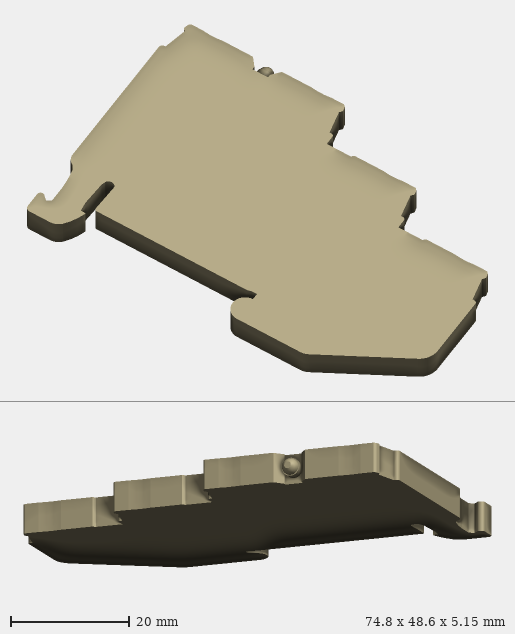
import cadquery as cq
import math

length = 74.8
thickness = 5.15
mid_z = thickness / 2
body_left = 0.5

terrace_count = 3
terrace_pitch = 19.7
terrace_drop = 8.1
top_y = 47.8
first_riser_x = length - (terrace_count - 1) * terrace_pitch
shoulder_drop = 6.3
shoulder_y = top_y - shoulder_drop
shoulder_width = 0.9
shoulder_radius = 0.5
left_shoulder_radius = 0.7
floor_lip = 0.45
floor_width = 4.85
latch_profile = [
    (2.0, 0.0),
    (1.65, 0.4),
    (1.4, 1.3),
    (1.9, 1.9),
    (shoulder_width, shoulder_drop),
]

dish_width = 4.05
dish_depth = 0.15
dish_inset = 6.6
left_dish_x = 6.95

pin_x = 17.95
notch_half_width = 2.9
notch_wall_top_y = 46.15
notch_floor_y = 45.55
pin_radius = 1.6
pin_shoulder_y = 47.2
pin_tip_y = 48.6
pin_root_depth = 0.75
dome_base_radius = 1.4
dome_tip_radius = 0.6
dome_mid_radius = 1.2
dome_mid_y = 48.1

underside_y = 6.2

slot_top_y = 12.7
slot_round_y = 12.1
slot_left_x = 8.3
slot_right_x = 10.2
slot_mid_x = (slot_left_x + slot_right_x) / 2
slot_mouth_x = 9.95
slot_mouth_corner = 0.3

leg_right_x = 8.1
leg_right_top_y = 11.3
leg_waist = (7.85, 6.7)
barb_tip_x = 9.05
barb_top_y = 4.85
barb_base = (9.0, 4.4)
heel_bulge = (8.15, 2.55)
heel_knee = (7.0, 0.9)
sole_bulge = (6.05, 0.2)
sole_end_x = 4.85
toe_radius = 0.9
toe_side_y = 3.9
toe_crown = (0.5, 4.4)
toe_inner = (1.3, 4.1)
hook_root = (2.0, 3.45)
leg_left_x = 2.85
leg_left_bottom_y = 4.05
leg_left_top_y = 7.1
leg_neck = [(2.7, 9.0), (2.3, 11.1)]
leg_hollow = (1.95, 11.8)
body_round_start = (1.2, 12.5)
body_round_mid = (0.7, 13.25)
body_round_end_y = 14.1

foot_bottom_y = 0.2
foot_bottom_x = 42.85
foot_nose_x = 40.2
foot_nose_y = 2.7
foot_top_y = 5.15
undercut_x = 42.6
undercut_y = 6.4
undercut_ramp_x = (40.8, 41.6)
slope_start_x = 56.2
slope_angle = math.radians(30)
slope_corner_radius = 3.75
slope_start_radius = 3.0


def add_terraces(outline):
    """Draw the terrace ends and step floors from the first top to the last riser."""
    for step in range(terrace_count):
        riser_x = first_riser_x + step * terrace_pitch
        terrace_y = top_y - step * terrace_drop
        for inset, drop in latch_profile:
            outline = outline.lineTo(riser_x - inset, terrace_y - drop)
        outline = outline.lineTo(riser_x - shoulder_radius, terrace_y - shoulder_drop)
        outline = outline.tangentArcPoint((shoulder_radius, -shoulder_radius))
        if step < terrace_count - 1:
            next_y = terrace_y - terrace_drop
            outline = outline.lineTo(riser_x, next_y - floor_lip)
            outline = outline.lineTo(riser_x + floor_width, next_y - floor_lip)
            outline = outline.lineTo(riser_x + floor_width + floor_lip, next_y)
    return outline


def add_right_foot(outline):
    """Draw the sloped corner, the rounded foot and its undercut, ending on the underside."""
    slope_corner_y = foot_bottom_y + (length - slope_start_x) * math.tan(slope_angle)
    corner_tangent = slope_corner_radius * math.tan((math.pi / 2 - slope_angle) / 2)
    start_tangent = slope_start_radius * math.tan(slope_angle / 2)
    return (
        outline.lineTo(length, slope_corner_y + corner_tangent)
        .tangentArcPoint(
            (
                length - corner_tangent * math.cos(slope_angle),
                slope_corner_y - corner_tangent * math.sin(slope_angle),
            ),
            relative=False,
        )
        .lineTo(
            slope_start_x + start_tangent * math.cos(slope_angle),
            foot_bottom_y + start_tangent * math.sin(slope_angle),
        )
        .tangentArcPoint((slope_start_x - start_tangent, foot_bottom_y), relative=False)
        .lineTo(foot_bottom_x, foot_bottom_y)
        .threePointArc((foot_nose_x, foot_nose_y), (undercut_x, foot_top_y))
        .lineTo(undercut_x, undercut_y)
        .lineTo(undercut_ramp_x[1], undercut_y)
        .lineTo(undercut_ramp_x[0], underside_y)
    )


def add_spring_foot(outline):
    """Draw the slot and the hooked spring leg, ending on the straight left edge."""
    outline = (
        outline.lineTo(slot_mouth_x + slot_mouth_corner, underside_y)
        .lineTo(slot_mouth_x, underside_y + slot_mouth_corner)
        .lineTo(slot_right_x, slot_round_y)
        .threePointArc((slot_mid_x, slot_top_y), (slot_left_x, slot_round_y))
        .lineTo(leg_right_x, leg_right_top_y)
        .lineTo(*leg_waist)
        .lineTo(leg_right_x, barb_top_y)
        .lineTo(barb_tip_x, barb_top_y)
        .lineTo(*barb_base)
        .threePointArc(heel_bulge, heel_knee)
        .threePointArc(sole_bulge, (sole_end_x, 0.0))
        .lineTo(toe_radius, 0.0)
        .tangentArcPoint((0.0, toe_radius), relative=False)
        .lineTo(0.0, toe_side_y)
        .threePointArc(toe_crown, toe_inner)
        .lineTo(*hook_root)
        .lineTo(leg_left_x, leg_left_bottom_y)
        .lineTo(leg_left_x, leg_left_top_y)
    )
    for point in leg_neck:
        outline = outline.lineTo(*point)
    return (
        outline.threePointArc(leg_hollow, body_round_start)
        .threePointArc(body_round_mid, (body_left, body_round_end_y))
    )


def make_plate():
    outline = cq.Workplane("XY").moveTo(body_left + left_shoulder_radius, shoulder_y)
    for inset, drop in reversed(latch_profile):
        outline = outline.lineTo(body_left + inset, top_y - drop)
    outline = add_terraces(outline)
    outline = add_right_foot(outline)
    outline = add_spring_foot(outline)
    outline = outline.lineTo(body_left, shoulder_y - left_shoulder_radius)
    outline = outline.tangentArcPoint((left_shoulder_radius, left_shoulder_radius))
    return outline.close().extrude(thickness)


def make_dish(x, y):
    half = dish_width / 2
    return (
        cq.Workplane("XY")
        .moveTo(x - half, y)
        .threePointArc((x, y - dish_depth), (x + half, y))
        .close()
        .extrude(thickness)
    )


def make_notch():
    return (
        cq.Workplane("XY")
        .moveTo(pin_x - notch_half_width, top_y)
        .lineTo(pin_x - pin_radius, notch_wall_top_y)
        .lineTo(pin_x - pin_radius, notch_floor_y)
        .lineTo(pin_x + pin_radius, notch_floor_y)
        .lineTo(pin_x + pin_radius, notch_wall_top_y)
        .lineTo(pin_x + notch_half_width, top_y)
        .close()
        .extrude(thickness)
    )


def make_pin():
    """Round pin along Y with a domed, flat-ended tip, rooted in the notch floor."""
    root_y = notch_floor_y - pin_root_depth
    return (
        cq.Workplane("XY", origin=(pin_x, 0, mid_z))
        .moveTo(0, root_y)
        .lineTo(pin_radius, root_y)
        .lineTo(pin_radius, pin_shoulder_y)
        .lineTo(dome_base_radius, pin_shoulder_y)
        .threePointArc((dome_mid_radius, dome_mid_y), (dome_tip_radius, pin_tip_y))
        .lineTo(0, pin_tip_y)
        .close()
        .revolve(360, (0, 0, 0), (0, 1, 0))
    )


result = make_plate().cut(make_notch())
result = result.cut(make_dish(left_dish_x, top_y))
for step in range(terrace_count):
    dish_x = first_riser_x + step * terrace_pitch - dish_inset
    result = result.cut(make_dish(dish_x, top_y - step * terrace_drop))
result = result.union(make_pin())